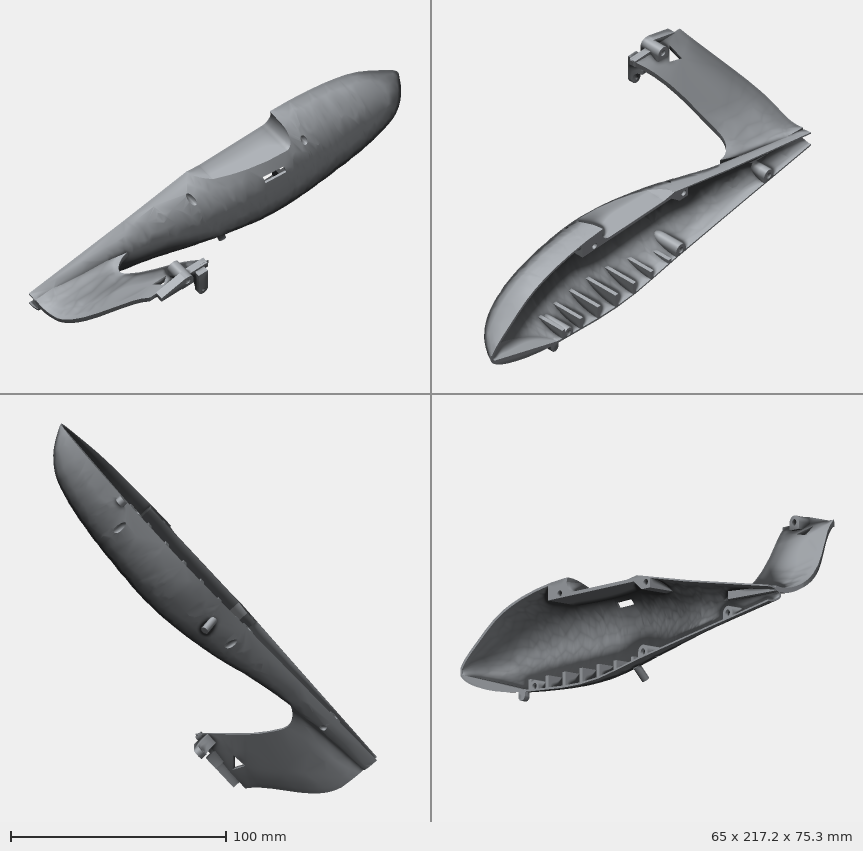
import cadquery as cq
import math


OVERALL_X = 64.98
LENGTH = 217.19
OVERALL_Z = 75.26

WALL = 1.0
MIN_CAVITY_WIDTH = 0.6
STATIONS = [
    (LENGTH, 22.0, 18.0, 1.0),
    (214.0, 26.0, 15.2, 6.4),
    (206.0, 32.5, 11.3, 15.4),
    (194.6, 41.0, 7.7, 21.3),
    (178.0, 48.2, 4.6, 25.2),
    (157.0, 52.5, 2.6, 27.6),
    (137.0, 53.7, 1.6, 28.8),
    (119.0, 52.0, 2.6, 28.3),
    (103.0, 49.3, 5.4, 26.2),
    (88.3, 46.5, 8.0, 23.2),
    (72.0, 43.0, 10.4, 18.6),
    (55.6, 39.5, 13.0, 14.4),
    (42.0, 37.0, 15.1, 12.2),
    (28.0, 34.4, 17.1, 10.5),
    (14.0, 31.7, 19.2, 9.1),
    (0.0, 29.1, 21.3, 8.0),
]
BODY_REACH = 40.0

SCREW_D = 3.05
LOWER_BOSSES = [(165.0, 5.6, 2.9), (88.5, 10.5, 3.3), (28.6, 20.0, 3.3)]
UPPER_HOLES = [(147.2, 46.8), (86.5, 43.2)]

SADDLE_Z = 46.3
SADDLE_TILT = 2.7
SADDLE_FLOOR = 1.6
SADDLE_FRONT = 142.3
SADDLE_LIP = 140.0
SADDLE_REAR = 93.0
SADDLE_RAMP = 7.0
SADDLE_RAMP_RISE = 1.0
SADDLE_BLEND = 5.3
DECK_FRONT = 155.5
DECK_REAR = 83.6
DECK_STEP_Z = 40.2
DECK_STEP_START = 95.0
DECK_STEP_END = 89.3
ABOVE_BODY = 60.0

SLOT_Y = (120.7, 132.3)
SLOT_Z = (40.7, 43.2)
SLOT_INNER_X = 15.0

NOSE_FLOOR_FRONT_Z = 18.8
NOSE_FLOOR_REAR = 172.0
NOSE_FLOOR_REAR_Z = 4.9

RIB_COUNT = 7
RIB_PITCH = 12.05
RIB_FIRST_Y = 96.0
RIB_THICKNESS = 2.0
RIB_TOP_Z = 9.3

HALF_PEG_Y = 174.1
HALF_PEG_R = 2.3
HALF_PEG_X = 2.9
HALF_PEG_TOP_Z = 5.2
TILTED_PEG_Y = 102.9
TILTED_PEG_R = 1.9
TILTED_PEG_TIP_X = 14.3
TILTED_PEG_LENGTH = 8.0

PANEL_REAR = [(5.0, 28.2, 1.2), (12.0, 27.9, 1.2), (20.0, 30.8, 1.1), (30.0, 37.2, 1.4),
              (48.7, 54.9, 1.7), (63.0, 70.8, 1.6)]
PANEL_FRONT = [(5.0, 31.0, 2.4), (12.0, 33.0, 2.2), (20.0, 37.2, 1.6), (30.0, 45.6, 1.4),
               (48.7, 63.8, 1.3), (63.0, 72.0, 1.2)]
PANEL_FRONT_Y = 60.0
PANEL_TIP_X = 61.2
PANEL_TIP_REAR_Y = 23.7
PANEL_ROOT_X = 5.0
PANEL_TIP_FRONT_Y = 58.0
TRAILING_EDGE = [(PANEL_TIP_X, PANEL_TIP_REAR_Y), (35.0, 4.9), (28.5, 1.6), (21.9, 0.0)]
LEADING_EDGE = [(12.4, 48.6), (14.6, 42.3), (20.3, 37.8), (28.5, 39.3), (36.6, 42.5), (48.0, 49.0),
                (PANEL_TIP_X, PANEL_TIP_FRONT_Y)]
ROOT_FRONT = [(9.5, 39.0), (5.0, 34.0)]

WINDOW_CORNERS = [(-2.3, 40.0), (4.2, 34.3), (-4.2, 32.6)]
WINDOW_X = 55.0
WINDOW_Z = 66.5
WINDOW_DEPTH = 10.0

BARREL_Y = 43.1
BARREL_R = 3.3
BARREL_X = 53.7
BARREL_FOOT_Z = 68.5
BARREL_Z = OVERALL_Z - BARREL_R
RAIL_X = 60.7
RAIL_REAR_Y = 27.6
RAIL_BOTTOM_Z = 69.0
RAIL_REAR_TOP_Z = 71.6
BRIDGE_X = 58.6
BRIDGE_FRONT_Y = 57.0
BRIDGE_TOP_Z = 72.3
LUG_X = 62.1
LUG_Y = 52.2
LUG_R = 2.7
LUG_Z = 58.0
LUG_TOP_Z = 71.0
LUG_ROOT_Z = 66.5
LUG_BLEND = 6.0
LUG_BLEND_Z = 58.5
LUG_HOLE_D = 1.8


def box(x_range, y_range, z_range):
    size = [high - low for low, high in (x_range, y_range, z_range)]
    corner = (x_range[0], y_range[0], z_range[0])
    return cq.Workplane("XY").box(*size, centered=False).translate(corner)


def side_prism(points, x_start, x_end):
    """Closed outline of (Y, Z) points extruded along X."""
    return cq.Workplane("YZ", origin=(x_start, 0, 0)).polyline(points).close().extrude(x_end - x_start)


def x_cylinder(y, z, radius, x_start, x_end):
    return cq.Workplane("YZ", origin=(x_start, y, z)).circle(radius).extrude(x_end - x_start)


def half_ellipse(station):
    """Closed half ellipse across the body, flat side on the parting plane."""
    y, top, bottom, half_width = station
    half_height = (top - bottom) / 2
    middle = (top + bottom) / 2
    outline = cq.Workplane("XZ", origin=(0, y, middle)).moveTo(0, -half_height)
    return outline.ellipseArc(half_width, half_height, -90, 90, startAtCurrent=True).close().val()


def make_body():
    return cq.Workplane(cq.Solid.makeLoft([half_ellipse(station) for station in STATIONS]))


def make_cavity():
    inner = [
        (y - WALL, top - WALL, bottom + WALL, max(half_width - WALL, MIN_CAVITY_WIDTH))
        for y, top, bottom, half_width in STATIONS
    ]
    return cq.Workplane(cq.Solid.makeLoft([half_ellipse(station) for station in inner]))


def saddle_cutter():
    """Space above the saddle, with a round blend, an undercut front wall and a rear ramp."""
    outline = (
        cq.Workplane("YZ")
        .moveTo(SADDLE_REAR, SADDLE_Z + SADDLE_RAMP_RISE)
        .lineTo(SADDLE_REAR + SADDLE_RAMP, SADDLE_Z)
        .lineTo(SADDLE_FRONT - SADDLE_BLEND, SADDLE_Z)
        .radiusArc((SADDLE_FRONT, SADDLE_Z + SADDLE_BLEND), -SADDLE_BLEND)
        .lineTo(SADDLE_LIP, ABOVE_BODY)
        .lineTo(SADDLE_REAR, ABOVE_BODY)
        .close()
    )
    cutter = outline.extrude(BODY_REACH)
    return cutter.rotate((0, 0, SADDLE_Z), (0, 1, SADDLE_Z), -SADDLE_TILT)


def deck_fill():
    """Solid material under and around the saddle, filling the top of the cavity."""
    floor_z = SADDLE_Z - SADDLE_FLOOR
    outline = [
        (DECK_FRONT, ABOVE_BODY), (DECK_FRONT, floor_z), (DECK_STEP_START, floor_z),
        (DECK_STEP_END, DECK_STEP_Z), (DECK_REAR, DECK_STEP_Z), (DECK_REAR, ABOVE_BODY),
    ]
    return side_prism(outline, 0, BODY_REACH)


def nose_fill():
    """Solid wedge under the sloping nose floor."""
    outline = [
        (LENGTH, 0), (LENGTH, NOSE_FLOOR_FRONT_Z), (NOSE_FLOOR_REAR, NOSE_FLOOR_REAR_Z), (NOSE_FLOOR_REAR, 0),
    ]
    return side_prism(outline, 0, BODY_REACH)


def rib(index):
    y = RIB_FIRST_Y + index * RIB_PITCH
    return box((0, BODY_REACH), (y - RIB_THICKNESS / 2, y + RIB_THICKNESS / 2), (0, RIB_TOP_Z))


def lower_boss(y, z, radius):
    barrel = x_cylinder(y, z, radius, 0, BODY_REACH)
    return barrel.union(box((0, BODY_REACH), (y - radius, y + radius), (0, z)))


def half_peg():
    """Round-ended peg cut in half by the parting plane."""
    tip = x_cylinder(HALF_PEG_Y, HALF_PEG_R, HALF_PEG_R, 0, HALF_PEG_X)
    y_range = (HALF_PEG_Y - HALF_PEG_R, HALF_PEG_Y + HALF_PEG_R)
    stem = box((0, HALF_PEG_X), y_range, (HALF_PEG_R, HALF_PEG_TOP_Z))
    return tip.union(stem)


def tilted_peg():
    """Round peg leaning outward at 45 degrees, its end touching Z = 0."""
    rise = TILTED_PEG_R * math.sqrt(0.5)
    plane = cq.Plane(origin=(TILTED_PEG_TIP_X, TILTED_PEG_Y, rise), xDir=(0, 1, 0), normal=(-1, 0, 1))
    return cq.Workplane(plane).circle(TILTED_PEG_R).extrude(TILTED_PEG_LENGTH)


def panel_section(points, y):
    """Panel cross-section at one Y: splines above and below the mid-line."""
    upper = [(x, z + half_height) for x, z, half_height in points]
    lower = [(x, z - half_height) for x, z, half_height in reversed(points)]
    outline = cq.Workplane("XZ", origin=(0, y, 0)).moveTo(*upper[0]).spline(upper[1:], includeCurrent=True)
    outline = outline.lineTo(*lower[0]).spline(lower[1:], includeCurrent=True)
    return outline.close().val()


def window_cutter():
    plane = cq.Plane(origin=(WINDOW_X, 0, WINDOW_Z), xDir=(1, 0, 1), normal=(-1, 0, 1))
    return cq.Workplane(plane).polyline(WINDOW_CORNERS).close().extrude(WINDOW_DEPTH / 2, both=True)


def make_panel():
    """V-tail panel: a lofted slab trimmed to its swept plan outline."""
    slab = cq.Workplane(
        cq.Solid.makeLoft([panel_section(PANEL_REAR, 0), panel_section(PANEL_FRONT, PANEL_FRONT_Y)], True))
    plan = (
        cq.Workplane("XY")
        .moveTo(PANEL_ROOT_X, 0)
        .lineTo(*TRAILING_EDGE[-1])
        .spline(TRAILING_EDGE[-2::-1], includeCurrent=True)
        .lineTo(*LEADING_EDGE[-1])
        .spline(LEADING_EDGE[-2::-1], includeCurrent=True)
        .lineTo(*ROOT_FRONT[0])
        .lineTo(*ROOT_FRONT[1])
        .close()
        .extrude(OVERALL_Z)
    )
    return slab.intersect(plan)


def make_fittings():
    """Hinge barrel, rail and hanging lug along the panel tip."""
    barrel = x_cylinder(BARREL_Y, BARREL_Z, BARREL_R, BARREL_X, OVERALL_X)
    barrel_sides = (BARREL_Y - BARREL_R, BARREL_Y + BARREL_R)
    foot = box((BARREL_X, OVERALL_X), barrel_sides, (BARREL_FOOT_Z, BARREL_Z))
    rail_outline = [
        (RAIL_REAR_Y, RAIL_BOTTOM_Z), (BARREL_Y, RAIL_BOTTOM_Z), (BARREL_Y, OVERALL_Z),
        (BARREL_Y - BARREL_R / 2, OVERALL_Z), (RAIL_REAR_Y, RAIL_REAR_TOP_Z),
    ]
    rail = side_prism(rail_outline, RAIL_X, OVERALL_X)
    bridge = box((BRIDGE_X, LUG_X), (BARREL_Y, BRIDGE_FRONT_Y), (RAIL_BOTTOM_Z, BRIDGE_TOP_Z))
    return barrel.union(foot).union(rail).union(bridge).union(make_lug())


def make_lug():
    """Round-ended lug hanging from the tip, blended into the panel by an arc."""
    profile = (
        cq.Workplane("XZ", origin=(0, LUG_Y + LUG_R, 0))
        .moveTo(OVERALL_X, 0)
        .lineTo(OVERALL_X, LUG_TOP_Z)
        .lineTo(BRIDGE_X, LUG_TOP_Z)
        .lineTo(LUG_X - LUG_BLEND, LUG_ROOT_Z)
        .lineTo(LUG_X - LUG_BLEND, LUG_BLEND_Z + LUG_BLEND)
        .radiusArc((LUG_X, LUG_BLEND_Z), LUG_BLEND)
        .lineTo(LUG_X, 0)
        .close()
        .extrude(2 * LUG_R)
    )
    end = x_cylinder(LUG_Y, LUG_Z, LUG_R, 0, OVERALL_X)
    stem = box((0, OVERALL_X), (LUG_Y - LUG_R, LUG_Y + LUG_R), (LUG_Z, OVERALL_Z))
    return profile.intersect(end.union(stem))


def make_part():
    body = make_body()
    cavity = make_cavity()

    fill = deck_fill().union(nose_fill())
    for index in range(RIB_COUNT):
        fill = fill.union(rib(index))
    for y, z, radius in LOWER_BOSSES:
        fill = fill.union(lower_boss(y, z, radius))

    shell = body.cut(cavity.cut(fill))
    shell = shell.cut(saddle_cutter())
    shell = shell.cut(box((SLOT_INNER_X, BODY_REACH), SLOT_Y, SLOT_Z))
    shell = shell.union(half_peg()).union(tilted_peg().cut(cavity))

    screw_axes = [boss[:2] for boss in LOWER_BOSSES] + UPPER_HOLES
    for y, z in screw_axes:
        shell = shell.cut(x_cylinder(y, z, SCREW_D / 2, 0, BODY_REACH))

    tail = make_panel().cut(window_cutter()).union(make_fittings())
    tail = tail.cut(x_cylinder(BARREL_Y, BARREL_Z, SCREW_D / 2, 0, OVERALL_X))
    tail = tail.cut(x_cylinder(LUG_Y, LUG_Z, LUG_HOLE_D / 2, 0, OVERALL_X))
    return shell.union(tail)


result = make_part()